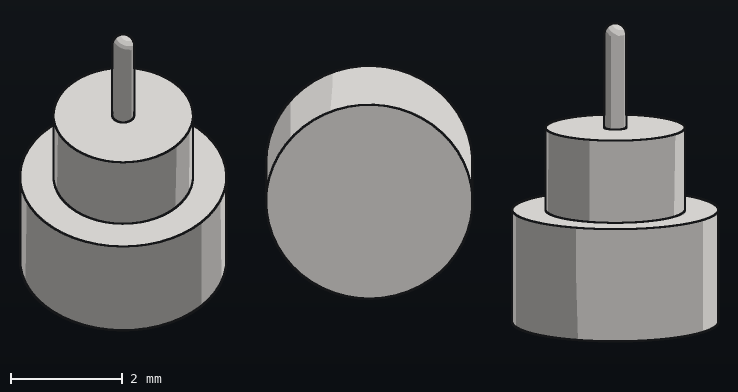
import cadquery as cq

total_height = 5.45
base_diameter = 3.7
base_height = 2.05
collar_diameter = 2.5
collar_height = 1.5
pin_diameter = 0.4

pin_radius = pin_diameter / 2
collar_top = base_height + collar_height
pin_height = total_height - collar_top


def cylinder(diameter, height, bottom):
    """Upright cylinder on the Z axis, starting at the given height."""
    return cq.Workplane("XY").workplane(offset=bottom).circle(diameter / 2).extrude(height)


base = cylinder(base_diameter, base_height, 0)
collar = cylinder(collar_diameter, collar_height, base_height)

pin_shank = cylinder(pin_diameter, pin_height - pin_radius, collar_top)
pin_tip = cq.Workplane("XY").sphere(pin_radius).translate((0, 0, total_height - pin_radius))

result = base.union(collar).union(pin_shank).union(pin_tip)